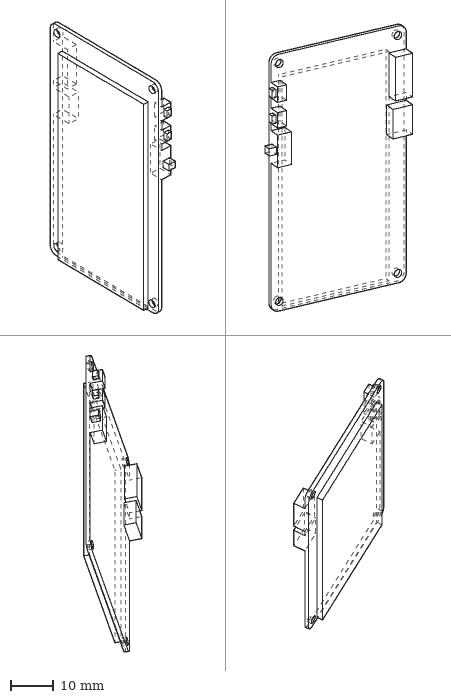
import cadquery as cq

board_width = 36.8
board_height = 66.3
board_thickness = 1.05
corner_radius = 2.05

hole_diameter = 2.0
hole_side_inset = 2.25
hole_end_inset = 2.45

screen_width = 29.2
screen_height = 59.1
screen_thickness = 1.45
screen_left_inset = 4.1
screen_top_inset = 6.55

component_thickness = 3.0
upper_connector_width = 4.7
upper_connector_height = 11.3
upper_connector_drop = 12.0
lower_connector_width = 5.4
lower_connector_height = 7.6
switch_width = 3.8
switch_height = 8.4
switch_drop = 23.45
button_width = 2.45
button_height = 4.0
button_drops = (8.8, 15.45)

plunger_reach = 1.0
plunger_thickness = 1.4
plunger_height = 2.05
slider_reach = 2.0
slider_thickness = 2.05
slider_height = 1.85

left_edge = -board_width / 2
right_edge = board_width / 2
top_edge = board_height / 2
component_mid_y = board_thickness + component_thickness / 2


def block(x_min, width, y_mid, thickness, drop, height):
    """Box starting at x_min, centred on y_mid and on a drop below the top edge."""
    return cq.Workplane("XY").box(width, thickness, height).translate(
        (x_min + width / 2, y_mid, top_edge - drop)
    )


def left_component(width, drop, height):
    """Component on the back, flush with the left edge."""
    return block(left_edge, width, component_mid_y, component_thickness, drop, height)


def right_component(width, drop, height):
    """Component on the back, flush with the right edge."""
    return block(right_edge - width, width, component_mid_y, component_thickness, drop, height)


def actuator(reach, thickness, drop, height):
    """Peg standing out from the right-hand face of a component."""
    return block(right_edge, reach, component_mid_y, thickness, drop, height)


def make_board():
    board = block(left_edge, board_width, board_thickness / 2, board_thickness, top_edge, board_height)
    board = board.edges("|Y").fillet(corner_radius)
    hole_span_x = board_width - 2 * hole_side_inset
    hole_span_z = board_height - 2 * hole_end_inset
    holes = (
        cq.Workplane("XZ")
        .rect(hole_span_x, hole_span_z, forConstruction=True)
        .vertices()
        .circle(hole_diameter / 2)
        .extrude(-board_thickness)
    )
    return board.cut(holes)


screen = block(
    left_edge + screen_left_inset,
    screen_width,
    -screen_thickness / 2,
    screen_thickness,
    screen_top_inset + screen_height / 2,
    screen_height,
)

result = make_board().union(screen)

result = result.union(left_component(upper_connector_width, upper_connector_drop, upper_connector_height))
result = result.union(left_component(lower_connector_width, switch_drop, lower_connector_height))

for button_drop in button_drops:
    result = result.union(right_component(button_width, button_drop, button_height))
    result = result.union(actuator(plunger_reach, plunger_thickness, button_drop, plunger_height))

result = result.union(right_component(switch_width, switch_drop, switch_height))
result = result.union(actuator(slider_reach, slider_thickness, switch_drop, slider_height))